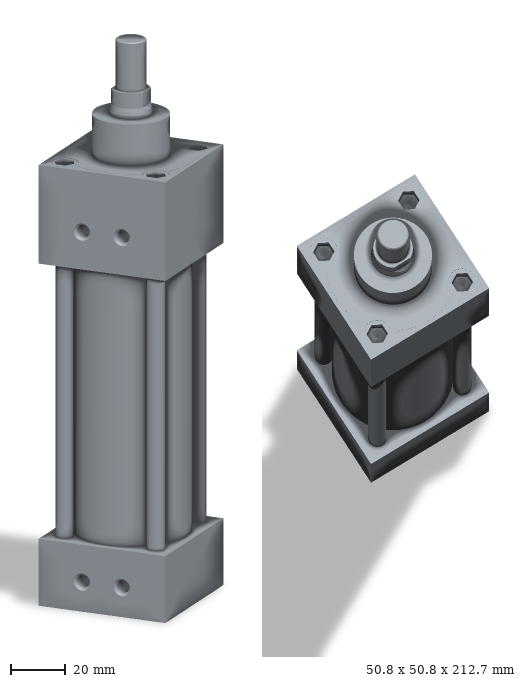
import cadquery as cq
import math


block_width = 50.8
base_height = 25.5
head_bottom = 130.6
head_top = 168.3
tube_diameter = 44.5
tie_rod_diameter = 6.5
corner_offset = 18.3

nose_diameter = 28.5
nose_top = 184.2
pilot_diameter = 48.0
pilot_height = 0.1

counterbore_diameter = 10.2
counterbore_depth = 0.1
socket_across_flats = 6.8
socket_depth = 4.3
socket_drill_diameter = 5.5

port_diameter = 4.9
port_mouth_diameter = 6.5
port_depth = 6.4
port_offset = 7.98
base_port_height = 11.3
head_port_height = 144.9
drill_point_angle = 118

rod_diameter = 16.0
neck_diameter = 14.5
stud_diameter = 11.3
stud_chamfer = 0.5
rod_shoulder = 185.5
neck_bottom = 188.0
neck_top = 193.8
rod_top = 212.7
across_flats = 12.8
flat_ramp_height = 2.1


def drill(diameter, depth):
    """Drill shape that enters at the origin along -Z and ends in a cone."""
    radius = diameter / 2
    tip_length = radius / math.tan(math.radians(drill_point_angle / 2))
    return (
        cq.Workplane("XZ")
        .moveTo(0, 0)
        .lineTo(radius, 0)
        .lineTo(radius, -depth)
        .lineTo(0, -depth - tip_length)
        .close()
        .revolve(360, (0, 0), (0, 1))
    )


def cylinder(diameter, bottom, top):
    """Upright cylinder on the Z axis."""
    return cq.Workplane("XY").workplane(offset=bottom).circle(diameter / 2).extrude(top - bottom)


def end_block(bottom, top):
    """Square block centred on the Z axis."""
    return cq.Workplane("XY").workplane(offset=bottom).rect(block_width, block_width).extrude(top - bottom)


def hexagon_socket():
    """Hexagonal socket shape with two corners on the X axis and a drilled cone in its floor."""
    across_corners = socket_across_flats / math.cos(math.radians(30))
    hexagon = cq.Workplane("XY").polygon(6, across_corners).extrude(-socket_depth)
    return hexagon.union(drill(socket_drill_diameter, socket_depth))


def countersunk_port():
    """Blind drilled port shape with a 45 degree countersink at its mouth."""
    mouth_radius = port_mouth_diameter / 2
    countersink = cq.Workplane("XY").add(cq.Solid.makeCone(0, mouth_radius, mouth_radius))
    countersink = countersink.translate((0, 0, -mouth_radius))
    return drill(port_diameter, port_depth).union(countersink)


def make_housing():
    corners = [(x, y) for x in (-corner_offset, corner_offset) for y in (-corner_offset, corner_offset)]

    body = end_block(0, base_height).union(end_block(head_bottom, head_top))
    body = body.union(cylinder(tube_diameter, base_height, head_bottom))
    for x, y in corners:
        body = body.union(cylinder(tie_rod_diameter, base_height, head_bottom).translate((x, y, 0)))

    pilot_top = head_top + pilot_height
    body = body.union(cylinder(pilot_diameter, head_top, pilot_top))
    body = body.union(cylinder(nose_diameter, head_top, nose_top))

    counterbore_floor = head_top - counterbore_depth
    counterbore = cylinder(counterbore_diameter, counterbore_floor, pilot_top)
    socket = hexagon_socket().translate((0, 0, counterbore_floor))
    for x, y in corners:
        body = body.cut(counterbore.translate((x, y, 0))).cut(socket.translate((x, y, 0)))

    port = countersunk_port().rotate((0, 0, 0), (1, 0, 0), 90)
    for x in (-port_offset, port_offset):
        for z in (base_port_height, head_port_height):
            body = body.cut(port.translate((x, -block_width / 2, z)))
    return body


def make_piston_rod():
    rod = (
        cq.Workplane("XZ")
        .moveTo(0, nose_top)
        .lineTo(rod_diameter / 2, nose_top)
        .lineTo(rod_diameter / 2, rod_shoulder)
        .lineTo(neck_diameter / 2, neck_bottom)
        .lineTo(neck_diameter / 2, neck_top)
        .lineTo(stud_diameter / 2, neck_top)
        .lineTo(stud_diameter / 2, rod_top - stud_chamfer)
        .lineTo(stud_diameter / 2 - stud_chamfer, rod_top)
        .lineTo(0, rod_top)
        .close()
        .revolve(360, (0, 0), (0, 1))
    )

    flat_x = across_flats / 2
    outer_x = flat_x + flat_ramp_height
    cutter = (
        cq.Workplane("XZ")
        .moveTo(flat_x, neck_top)
        .lineTo(flat_x, neck_bottom)
        .lineTo(outer_x, neck_bottom - flat_ramp_height)
        .lineTo(outer_x, neck_top)
        .close()
        .extrude(rod_diameter / 2, both=True)
    )
    return rod.cut(cutter).cut(cutter.mirror("YZ"))


housing = make_housing()
piston_rod = make_piston_rod()

result = cq.Compound.makeCompound([housing.val(), piston_rod.val()])